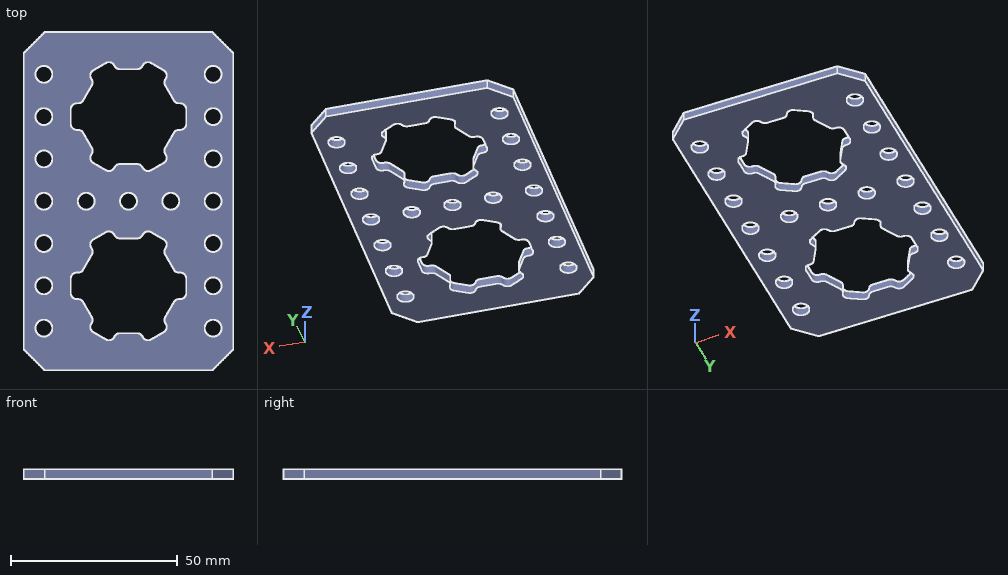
import cadquery as cq
import math

PLATE_WIDTH = 62.99
PLATE_LENGTH = 101.6
PLATE_THICKNESS = 3.0
CORNER_CHAMFER = 6.35

HOLE_PITCH = 12.7
HOLE_DIAMETER = 5.0
SIDE_COLUMN = 2
END_ROW = 3

OPENING_OFFSET = 2 * HOLE_PITCH
HEXAGON_APOTHEM = 14.2
LOBE_COUNT = 6
LOBE_REACH = 17.3
LOBE_WIDTH = 7.9
LOBE_FILLET = 1.75


def make_plate():
    """Flat plate resting on Z = 0 with its four corners cut off."""
    plate = cq.Workplane("XY").box(
        PLATE_WIDTH, PLATE_LENGTH, PLATE_THICKNESS, centered=(True, True, False)
    )
    return plate.edges("|Z").chamfer(CORNER_CHAMFER)


def hole_positions():
    """Two side columns plus the holes that join them along the middle row."""
    columns = [
        (side * SIDE_COLUMN * HOLE_PITCH, row * HOLE_PITCH)
        for side in (-1, 1)
        for row in range(-END_ROW, END_ROW + 1)
    ]
    middle = [(step * HOLE_PITCH, 0) for step in range(-SIDE_COLUMN + 1, SIDE_COLUMN)]
    return columns + middle


def make_holes():
    return (
        cq.Workplane("XY")
        .pushPoints(hole_positions())
        .circle(HOLE_DIAMETER / 2)
        .extrude(PLATE_THICKNESS)
    )


def make_opening():
    """Six-lobed cutter, centred on the origin, with every corner rounded."""
    hexagon_diameter = 2 * HEXAGON_APOTHEM / math.cos(math.pi / LOBE_COUNT)
    opening = cq.Workplane("XY").polygon(LOBE_COUNT, hexagon_diameter).extrude(PLATE_THICKNESS)
    bar = cq.Workplane("XY").rect(2 * LOBE_REACH, LOBE_WIDTH).extrude(PLATE_THICKNESS)
    for index in range(LOBE_COUNT // 2):
        angle = index * 360 / LOBE_COUNT
        opening = opening.union(bar.rotate((0, 0, 0), (0, 0, 1), angle))
    return opening.edges("|Z").fillet(LOBE_FILLET)


result = make_plate().cut(make_holes())
opening_cutter = make_opening()
for end in (-1, 1):
    result = result.cut(opening_cutter.translate((0, end * OPENING_OFFSET, 0)))